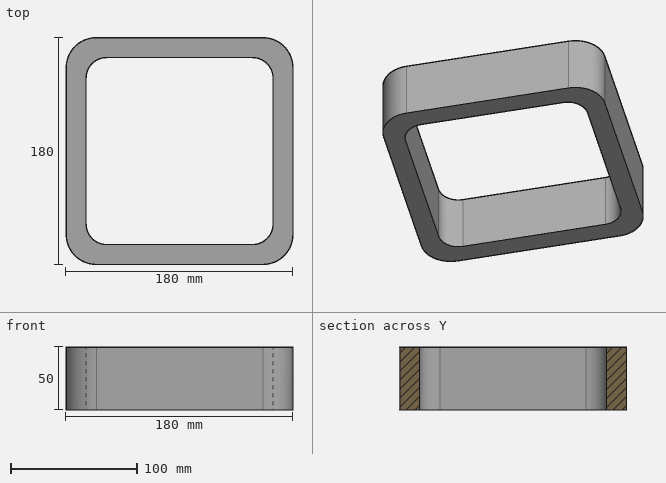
import cadquery as cq

side = 180.0
height = 50.0
wall = 16.0
outer_corner_radius = 24.0
inner_corner_radius = 16.0

opening_side = side - 2 * wall


def rounded_square_block(width, corner_radius):
    """Square block standing on Z = 0, with its upright edges rounded."""
    block = cq.Workplane("XY").rect(width, width).extrude(height)
    return block.edges("|Z").fillet(corner_radius)


outer_block = rounded_square_block(side, outer_corner_radius)
opening = rounded_square_block(opening_side, inner_corner_radius)
result = outer_block.cut(opening)